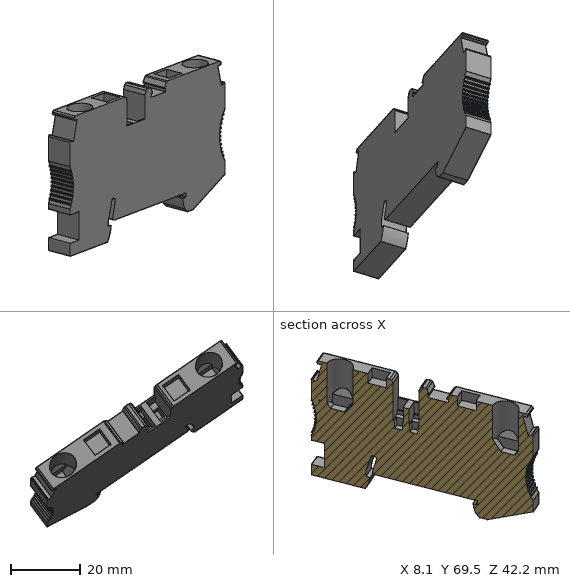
import cadquery as cq
import math

length = 69.5
height = 42.2
width = 8.1
end_y = length / 2

rib_pitch = 1.25
rib_height = 0.4
rib_reach = 0.4
rib_root = 0.35
rear_grip = dict(side=1, center_z=19.2, half_chord=7.85, sag=2.3, ribs=11, ribs_z=19.2)
front_grip = dict(side=-1, center_z=20.85, half_chord=6.45, sag=1.5, ribs=9, ribs_z=20.7)

channel_rear_y = -1.1
channel_front_y = -9.1
channel_floor_z = 33.15
groove_rear_y = 8.1
groove_front_y = 1.8
groove_floor_z = 39.05

rail_z = 5.9
rail_rear_y = 17.2
clip_depth = 4.0
clip_bottom_z = 3.95
clip_top_z = 12.6
edge_bevel = 0.15
edge_bevel_height = 0.5

socket_width = 7.1
socket_depth = 5.55
socket_step_width = 0.5
socket_step_depth = 4.2
rear_socket_length = 2.9
front_socket_length = 3.1
pit_width = 3.2
pit_length = 2.6
pit_floor_length = 2.2
pit_depth = 2.8
rear_pit_y = -2.65
front_pit_y = -7.45

funnel_x = 0.15
funnel_length = 8.0
funnel_width = 7.15
shaft_depth = 10.4
throat_width = 4.6
throat_length = 4.3
throat_x = 0.3
throat_slope = math.radians(55)
throat_offset = 0.7
rear_funnel_y = 26.05
front_funnel_y = -25.7

pocket_size = 5.7
pocket_depth = 3.5
rear_pocket_y = 14.0
front_pocket_y = -14.05


def plate(points):
    """Polygon in the YZ plane, extruded through the full width."""
    return cq.Workplane("YZ").polyline(points).close().extrude(width / 2, both=True)


def box(size_x, size_y, size_z, x, y, top_z):
    """Box centred on (x, y) that hangs down from top_z."""
    return cq.Workplane("XY").box(size_x, size_y, size_z).translate((x, y, top_z - size_z / 2))


def label_notch(side):
    """Undercut notch for a label at the upper corner of one end."""
    inset_and_z = [
        (0, height), (2.3, height), (1.8, 41.8), (1.7, 41.35), (1.95, 40.95), (3.1, 40.9), (3.1, 40.6),
        (1.6, 34.6), (1.45, 34.6), (0.55, 34.9), (0.4, 35.25), (0.3, 35.25), (0, 34.75),
    ]
    return plate([(side * (end_y - inset), z) for inset, z in inset_and_z])


def grip_radius(grip):
    return (grip["half_chord"] ** 2 + grip["sag"] ** 2) / (2 * grip["sag"])


def grip_hollow(grip):
    radius = grip_radius(grip)
    center_y = grip["side"] * (end_y - grip["sag"] + radius)
    return (
        cq.Workplane("YZ").center(center_y, grip["center_z"]).circle(radius)
        .extrude(width / 2, both=True)
    )


def grip_ribs(grip):
    radius = grip_radius(grip)
    ribs = cq.Workplane("XY")
    for index in range(grip["ribs"]):
        offset = (index - (grip["ribs"] - 1) / 2) * rib_pitch
        rib_z = grip["ribs_z"] + offset
        hollow_offset = rib_z - grip["center_z"]
        hollow_depth = grip["sag"] - radius + math.sqrt(radius ** 2 - hollow_offset ** 2)
        rib_y = end_y - hollow_depth + (rib_reach - rib_root) / 2
        rib = box(width, rib_reach + rib_root, rib_height, 0, grip["side"] * rib_y, rib_z + rib_height / 2)
        ribs = ribs.add(rib)
    return ribs.combine()


def channel():
    """Deep channel across the top, with bevelled and eased upper edges."""
    return plate([
        (channel_rear_y, channel_floor_z), (channel_rear_y, 40.45), (-0.6, 41.8), (0, height),
        (-10.15, height), (-9.5, 41.85), (channel_front_y, 40.95), (channel_front_y, channel_floor_z),
    ])


def marker_groove():
    """Shallow groove with a snap lip on both sides."""
    return plate([
        (groove_rear_y, groove_floor_z), (groove_rear_y, 40.1), (7.65, 40.1), (7.65, 40.45),
        (8.55, 41.9), (9.0, height), (1.05, height), (1.5, 41.9),
        (2.2, 40.45), (2.2, 40.1), (groove_front_y, 40.1), (groove_front_y, groove_floor_z),
    ])


def rear_slope():
    """Sloping underside below the rear grip."""
    return plate([(end_y, 0), (end_y, 7.1), (20.4, 0)])


def rail_recess():
    """Mounting rail recess between the rear hook and the sprung front foot."""
    return (
        cq.Workplane("YZ").moveTo(17.9, 0)
        .lineTo(16.75, 1.2)
        .threePointArc((16.1, 2.7), (15.85, 4.6))
        .lineTo(16.7, 4.6)
        .lineTo(rail_rear_y, 4.8)
        .lineTo(rail_rear_y, rail_z)
        .lineTo(-14.8, rail_z)
        .threePointArc((-15.4, 6.2), (-15.65, 6.8))
        .lineTo(-14.4, 11.8)
        .threePointArc((-15.1, 12.65), (-16.05, 11.95))
        .lineTo(-17.4, 7.1)
        .lineTo(-17.5, 6.3)
        .lineTo(-17.5, 4.8)
        .lineTo(-16.8, 4.6)
        .lineTo(-16.25, 4.6)
        .threePointArc((-16.8, 2.15), (-17.85, 0))
        .close().extrude(width / 2, both=True)
    )


def clip_cutout():
    """Rectangular cutout above the front foot, with bevelled outer corners."""
    inner_y = clip_depth - end_y
    return plate([
        (inner_y, clip_bottom_z), (edge_bevel - end_y, clip_bottom_z),
        (-end_y, clip_bottom_z - edge_bevel_height), (-end_y, clip_top_z + edge_bevel_height),
        (edge_bevel - end_y, clip_top_z), (inner_y, clip_top_z),
    ])


def foot_bevel():
    return plate([(-end_y, 0), (edge_bevel - end_y, 0), (-end_y, edge_bevel_height)])


def bridge_socket(rear_y, socket_length, pit_y):
    """Stepped rectangular socket with a tapered contact pit in its floor."""
    center_y = rear_y - socket_length / 2
    floor_z = channel_floor_z - socket_depth
    lower_width = socket_width - socket_step_width
    upper = box(socket_width, socket_length, socket_step_depth, 0, center_y, channel_floor_z)
    lower = box(lower_width, socket_length, socket_depth, socket_step_width / 2, center_y, channel_floor_z)
    pit = (
        cq.Workplane("XY", origin=(0, pit_y, floor_z)).rect(pit_width, pit_length)
        .workplane(offset=-pit_depth).rect(pit_width, pit_floor_length).loft()
    )
    return upper.union(lower).union(pit)


def wire_funnel(center_y, throat_shift):
    """Elliptical shaft whose bottom narrows to a rectangular throat."""
    throat_y = center_y + throat_shift
    side_run = (funnel_width - throat_width) / 2 + throat_x - funnel_x
    side_drop = side_run * math.tan(throat_slope)
    end_run = (funnel_length - throat_length) / 2 + throat_offset
    end_drop = end_run * math.tan(throat_slope)
    shaft_z = height - shaft_depth
    ledge_z = shaft_z - side_drop
    floor_z = ledge_z - end_drop

    def ellipse(depth):
        return (
            cq.Workplane("XY", origin=(funnel_x, center_y, height))
            .ellipse(funnel_length / 2, funnel_width / 2, rotation_angle=90).extrude(-depth)
        )

    side_taper = (
        cq.Workplane("XZ", origin=(throat_x, center_y, 0))
        .polyline([
            (-throat_width / 2, ledge_z), (throat_width / 2, ledge_z),
            (throat_width / 2 + side_run, shaft_z), (-throat_width / 2 - side_run, shaft_z),
        ]).close().extrude(funnel_length / 2, both=True)
    )
    half_floor = throat_length / 2
    end_taper = (
        cq.Workplane("YZ", origin=(throat_x, throat_y, 0))
        .polyline([
            (-half_floor, floor_z), (half_floor, floor_z),
            (half_floor + end_run, ledge_z), (-half_floor - end_run, ledge_z),
        ]).close().extrude(throat_width / 2, both=True)
    )
    throat = ellipse(height - floor_z).intersect(side_taper.union(end_taper))
    return ellipse(shaft_depth).union(throat)


body = cq.Workplane("XY").box(width, length, height).translate((0, 0, height / 2))

for side in (1, -1):
    body = body.cut(label_notch(side))
for grip in (rear_grip, front_grip):
    body = body.cut(grip_hollow(grip)).union(grip_ribs(grip))
for cutter in (channel(), marker_groove(), rear_slope(), rail_recess(), clip_cutout(), foot_bevel()):
    body = body.cut(cutter)

body = body.cut(bridge_socket(channel_rear_y, rear_socket_length, rear_pit_y))
body = body.cut(bridge_socket(channel_front_y + front_socket_length, front_socket_length, front_pit_y))
body = body.cut(wire_funnel(rear_funnel_y, throat_offset))
body = body.cut(wire_funnel(front_funnel_y, -throat_offset))
for center_y in (rear_pocket_y, front_pocket_y):
    body = body.cut(box(pocket_size, pocket_size, pocket_depth, 0, center_y, height))

result = body